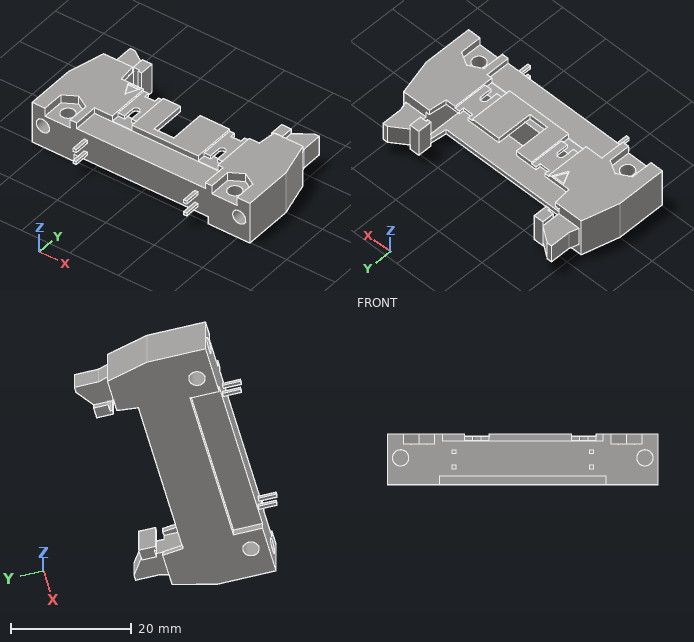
import cadquery as cq


length = 45.0
height = 8.5
overall_depth = 26.5
deck_depth = 13.8
shoulder_y = 10.1
ear_y = 17.4
ear_outer_x = 20.6
ear_inner_x = 14.65
ear_root_x = 14.25
mid_z = height / 2

wall = 1.1
cavity_floor_y = 7.5
cavity_half_length = 15.4
cavity_top_z = height - wall

recess_depth_y = 5.0
top_recess_length = 26.6
top_recess_depth = 1.2
bottom_recess_length = 27.7
bottom_recess_depth = 1.5

pitch = 2.54
pin_size = 0.64
pin_length = 3.1
end_pin_x = 4.5 * pitch

key_width = 4.05
key_end_y = 6.4

groove_centres = (-3 * pitch, 4 * pitch)
groove_width = 4.05
groove_depth = 0.4
groove_step_y = 6.65
keyhole_width = 1.4
keyhole_end_y = 9.6
edge_notch_width = 2.05
edge_notch_depth_y = 1.0

hole_diameter = 2.7
mount_x = 17.25
mount_y = 2.9
nut_width = 5.2
nut_shoulder_y = 4.4
nut_apex_y = 5.9
nut_depth = 1.7
face_hole_x = 20.3
face_hole_z = 4.5
face_hole_depth = 5.0

mark_x = -11.43
mark_width = 2.5
mark_base_y = 13.5
mark_tip_y = 10.95
mark_depth = 0.3

latch_thickness = 4.0
latch_tip_y = overall_depth - pin_length
latch_outer_x = 19.55
latch_root_x = 20.1
latch_bend_y = 19.25
latch_tip_x = 18.55
latch_inner_x = cavity_half_length
hook_thickness = 6.0
hook_top_y = 21.2
hook_bottom_y = 18.7
hook_lip_y = 18.3
hook_end_x = 13.4
hook_lip_width = 0.75


def box(x0, x1, y0, y1, z0, z1):
    """Block between two opposite corners."""
    return cq.Workplane("XY").box(x1 - x0, y1 - y0, z1 - z0, centered=False).translate((x0, y0, z0))


def centred_box(x, width, y0, y1, z0, z1):
    """Block whose X extent is centred on x."""
    return box(x - width / 2, x + width / 2, y0, y1, z0, z1)


def prism(points, z0, z1):
    """Outline in XY extruded from z0 to z1."""
    return cq.Workplane("XY").workplane(offset=z0).polyline(points).close().extrude(z1 - z0)


def mid_prism(points, thickness):
    """Outline in XY extruded equally to both sides of the mid height."""
    return prism(points, mid_z - thickness / 2, mid_z + thickness / 2)


def both_sides(solid):
    """The solid together with its mirror image across X = 0."""
    return solid.union(solid.mirror("YZ"))


def housing_block():
    right = [
        (length / 2, 0),
        (length / 2, shoulder_y),
        (ear_outer_x, ear_y),
        (ear_inner_x, ear_y),
        (ear_root_x, deck_depth),
    ]
    left = [(-x, y) for x, y in reversed(right)]
    return prism(right + left, 0, height)


def mating_cavity():
    """Socket between the top and bottom walls, cut on into the inner faces of the ears."""
    return centred_box(0, 2 * cavity_half_length, cavity_floor_y, ear_y, wall, cavity_top_z)


def face_recesses():
    top = centred_box(0, top_recess_length, 0, recess_depth_y, height - top_recess_depth, height)
    bottom = centred_box(0, bottom_recess_length, 0, recess_depth_y, 0, bottom_recess_depth)
    return top.union(bottom)


def polarising_slot():
    return centred_box(0, key_width, key_end_y, deck_depth, cavity_top_z, height)


def groove(x):
    """Shallow groove with a deeper step, a round-ended keyhole and a notch at the mating edge."""
    radius = keyhole_width / 2
    arc_y = keyhole_end_y - radius
    shallow = centred_box(x, groove_width, recess_depth_y, deck_depth, height - groove_depth, height)
    step = centred_box(x, groove_width, recess_depth_y, groove_step_y, cavity_top_z, height)
    keyhole = centred_box(x, keyhole_width, recess_depth_y, arc_y, cavity_top_z, height)
    round_end = cq.Workplane("XY").workplane(offset=cavity_top_z).center(x, arc_y).circle(radius).extrude(wall)
    notch_y = deck_depth - edge_notch_depth_y
    notch = centred_box(x, edge_notch_width, notch_y, deck_depth, cavity_top_z, height)
    return shallow.union(step).union(keyhole).union(round_end).union(notch)


def mounting_cuts():
    """Screw holes with pointed nut pockets, and blind holes in the pin face."""
    half = nut_width / 2
    pocket = prism(
        [
            (mount_x - half, 0),
            (mount_x + half, 0),
            (mount_x + half, nut_shoulder_y),
            (mount_x, nut_apex_y),
            (mount_x - half, nut_shoulder_y),
        ],
        height - nut_depth,
        height,
    )
    screw_hole = cq.Workplane("XY").center(mount_x, mount_y).circle(hole_diameter / 2).extrude(height)
    face_hole = (
        cq.Workplane("XZ")
        .center(face_hole_x, face_hole_z)
        .circle(hole_diameter / 2)
        .extrude(-face_hole_depth)
    )
    return both_sides(pocket.union(screw_hole).union(face_hole))


def pin_one_mark():
    return prism(
        [
            (mark_x - mark_width / 2, mark_base_y),
            (mark_x + mark_width / 2, mark_base_y),
            (mark_x, mark_tip_y),
        ],
        height - mark_depth,
        height,
    )


def latches():
    """Levers rising out of the ears, each with a wider hook pointing inwards."""
    lever = mid_prism(
        [
            (latch_inner_x, ear_y),
            (latch_root_x, ear_y),
            (latch_outer_x, latch_bend_y),
            (latch_outer_x, latch_tip_y),
            (latch_tip_x, latch_tip_y),
            (latch_inner_x, hook_top_y),
        ],
        latch_thickness,
    )
    lip_x = hook_end_x + hook_lip_width
    hook = mid_prism(
        [
            (latch_inner_x, hook_top_y),
            (hook_end_x, hook_top_y),
            (hook_end_x, hook_lip_y),
            (lip_x, hook_lip_y),
            (lip_x, hook_bottom_y),
            (latch_inner_x, hook_bottom_y),
        ],
        hook_thickness,
    )
    return both_sides(lever.union(hook))


def end_pins():
    """The two pins at each end of the two contact rows."""
    pins = []
    for x in (-end_pin_x, end_pin_x):
        for z in (mid_z - pitch / 2, mid_z + pitch / 2):
            pins.append(centred_box(x, pin_size, -pin_length, 0, z - pin_size / 2, z + pin_size / 2))
    return pins


housing = housing_block().cut(mating_cavity()).cut(face_recesses()).cut(polarising_slot())
for groove_x in groove_centres:
    housing = housing.cut(groove(groove_x))
housing = housing.cut(mounting_cuts()).cut(pin_one_mark())

result = housing.union(latches())
for pin in end_pins():
    result = result.union(pin)